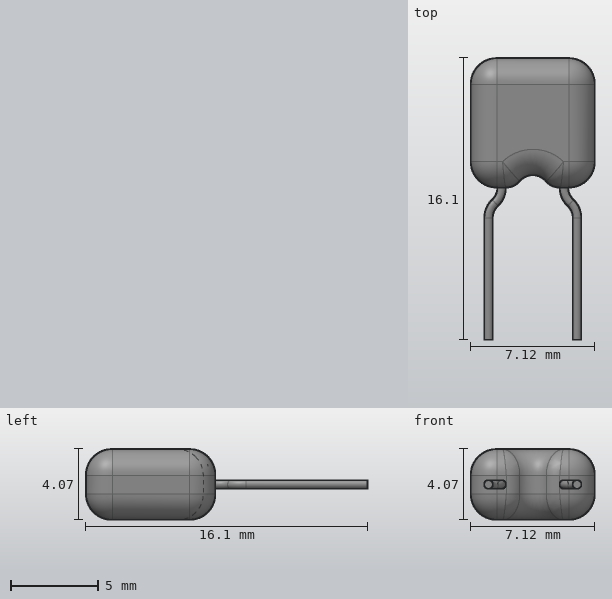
import cadquery as cq
import math

housing_width = 7.12
housing_length = 7.42
housing_height = 4.07
rounding_radius = 1.5

notch_radius = 1.0
shoulder_radius = 1.0
notch_depth = 0.71

overall_length = 16.14
lead_diameter = 0.5
lead_pitch = 5.07
exit_pitch = 3.57
bend_length = 1.73


def make_housing():
    """Rounded block with a notch in its exit face."""
    half_width = housing_width / 2
    notch_center_y = notch_depth - notch_radius

    center_distance = notch_radius + shoulder_radius
    shoulder_rise = shoulder_radius - notch_center_y
    shoulder_x = math.sqrt(center_distance**2 - shoulder_rise**2)
    tangent_x = shoulder_x * notch_radius / center_distance
    tangent_y = notch_center_y + shoulder_rise * notch_radius / center_distance

    half_sweep = math.atan2(shoulder_x, shoulder_rise) / 2
    middle_x = shoulder_x - shoulder_radius * math.sin(half_sweep)
    middle_y = shoulder_radius - shoulder_radius * math.cos(half_sweep)

    block = (
        cq.Workplane("XY")
        .workplane(offset=-housing_height / 2)
        .moveTo(-half_width, 0)
        .lineTo(-shoulder_x, 0)
        .threePointArc((-middle_x, middle_y), (-tangent_x, tangent_y))
        .threePointArc((0, notch_depth), (tangent_x, tangent_y))
        .threePointArc((middle_x, middle_y), (shoulder_x, 0))
        .lineTo(half_width, 0)
        .lineTo(half_width, housing_length)
        .lineTo(-half_width, housing_length)
        .close()
        .extrude(housing_height)
    )
    for corner in ("|Z and <X", "|Z and >X"):
        block = block.edges(corner).fillet(rounding_radius)
    return block.faces("|Z").edges().fillet(rounding_radius)


def make_lead(side):
    """Round wire leaving the exit face, kinked outwards by an S-bend; side is -1 or 1."""
    exit_x = exit_pitch / 2
    lead_x = lead_pitch / 2
    tip_y = housing_length - overall_length

    half_shift = (lead_x - exit_x) / 2
    half_length = bend_length / 2
    middle = (side * (exit_x + half_shift), -half_length)

    bend_radius = (half_shift**2 + half_length**2) / (2 * half_shift)
    half_turn = math.asin(half_length / bend_radius) / 2
    sag_x = bend_radius * (1 - math.cos(half_turn))
    sag_y = bend_radius * math.sin(half_turn)
    path = (
        cq.Workplane("XY")
        .moveTo(side * exit_x, 0)
        .threePointArc((side * (exit_x + sag_x), -sag_y), middle)
        .threePointArc((side * (lead_x - sag_x), sag_y - bend_length), (side * lead_x, -bend_length))
        .lineTo(side * lead_x, tip_y)
    )
    return cq.Workplane("XZ").center(side * exit_x, 0).circle(lead_diameter / 2).sweep(path)


housing = make_housing()
leads = [make_lead(side) for side in (-1, 1)]

result = cq.Compound.makeCompound([housing.val(), *[lead.val() for lead in leads]])